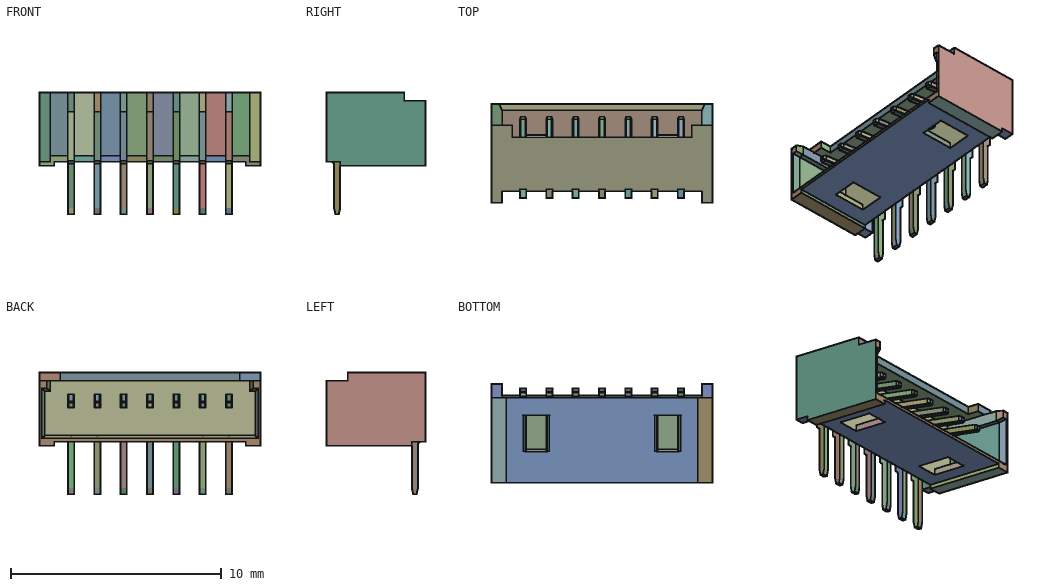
import cadquery as cq
import math


LENGTH = 10.5
DEPTH = 4.7
HEIGHT = 3.5
WING_WIDTH = 0.5
WING_DEPTH = 0.55
FOOT_WIDTH = 0.7
FOOT_HEIGHT = 0.2
UNDERCUT_TOP = 0.48
REAR_STEP_Y = 0.65

CEILING_Z = 3.11
FLOOR_Z = 0.5
BACK_WALL_Y = 1.5
WALL = 0.5
LOWER_WALL = 0.26
RIB_BOTTOM_Z = 2.59
FLARE = 0.15
FLARE_DEPTH = 0.29

MOUTH_Y = 3.7
ROOF_NOTCH_Y = 3.12
ROOF_NOTCH_HALF_WIDTH = 4.25
WINDOW_FRONT_Y = 3.21

PIN_COUNT = 7
PITCH = 1.25
PIN_WIDTH = 0.3
PIN_TOP = 2.58
PIN_BOTTOM = -2.3
LEG_REAR_Y = 0.22
TAIL_REAR_Y = 0.36
LEG_BEVEL_Z = 0.24
TAIL_TIP_HEIGHT = 0.29
TAIL_TIP_INSET = 0.06
CONTACT_TIP_Y = 4.1
CONTACT_HEIGHT = 0.3
CONTACT_DROOP_DEGREES = 8.0
CONTACT_BEVEL_WIDTH = 0.05
CONTACT_BEVEL_HEIGHT = 0.02
CONTACT_TIP_LENGTH = 0.13
CONTACT_TIP_INSET = 0.05

pin_places = [PITCH * (i - (PIN_COUNT - 1) / 2) for i in range(PIN_COUNT)]


def block(x0, x1, y0, y1, z0, z1):
    """Box between two corners."""
    return cq.Workplane("XY").box(x1 - x0, y1 - y0, z1 - z0, centered=False).translate((x0, y0, z0))


def centred_block(half_width, y0, y1, z0, z1):
    """Box symmetric about X = 0."""
    return block(-half_width, half_width, y0, y1, z0, z1)


def make_shell():
    """Solid housing with the rear recess, the underside relief and the stepped roof."""
    half = LENGTH / 2
    between_wings = half - WING_WIDTH
    shell = centred_block(half, 0, DEPTH, 0, HEIGHT)
    shell = shell.cut(centred_block(between_wings, 0, WING_DEPTH, 0, HEIGHT))
    shell = shell.cut(centred_block(between_wings, 0, REAR_STEP_Y, 0, UNDERCUT_TOP))
    shell = shell.cut(centred_block(half, 0, REAR_STEP_Y, 0, FOOT_HEIGHT))
    shell = shell.cut(centred_block(half - FOOT_WIDTH, 0, DEPTH, 0, FOOT_HEIGHT))
    return shell.cut(centred_block(half, MOUTH_Y, DEPTH, CEILING_Z, HEIGHT))


def cavity_wire(y, spread):
    """Cavity outline at depth y, widened on its sides, floor and rib undersides by spread."""
    upper = LENGTH / 2 - WALL + spread
    lower = LENGTH / 2 - LOWER_WALL + spread
    floor = FLOOR_Z - spread
    rib_bottom = RIB_BOTTOM_Z + spread
    outline = [
        (-lower, floor),
        (lower, floor),
        (lower, rib_bottom),
        (upper, rib_bottom),
        (upper, CEILING_Z),
        (-upper, CEILING_Z),
        (-upper, rib_bottom),
        (-lower, rib_bottom),
    ]
    return cq.Wire.makePolygon([cq.Vector(x, y, z) for x, z in outline], close=True)


def make_cavity():
    """Straight cavity ending in a flared mouth."""
    flare_y = DEPTH - FLARE_DEPTH
    inner = cavity_wire(BACK_WALL_Y, 0)
    start = cavity_wire(flare_y, 0)
    mouth = cavity_wire(DEPTH, FLARE)
    straight = cq.Workplane(cq.Solid.makeLoft([inner, start], True))
    return straight.union(cq.Workplane(cq.Solid.makeLoft([start, mouth], True)))


def make_housing():
    """Shell with the cavity, roof notch, floor windows and rear pin grooves."""
    housing = make_shell().cut(make_cavity())
    housing = housing.cut(
        centred_block(ROOF_NOTCH_HALF_WIDTH, ROOF_NOTCH_Y, MOUTH_Y, CEILING_Z, HEIGHT)
    )
    for left, right in (pin_places[:2], pin_places[-2:]):
        housing = housing.cut(block(left, right, BACK_WALL_Y, WINDOW_FRONT_Y, 0, FLOOR_Z))
    for x in pin_places:
        housing = housing.cut(
            block(x - PIN_WIDTH / 2, x + PIN_WIDTH / 2, WING_DEPTH, REAR_STEP_Y, 0, HEIGHT)
        )
    return housing


def make_leg():
    """Vertical leg, narrowed below the housing to a tail with a tapered tip."""
    tip_z = PIN_BOTTOM + TAIL_TIP_HEIGHT
    bevel = TAIL_REAR_Y - LEG_REAR_Y
    profile = [
        (LEG_REAR_Y, PIN_TOP),
        (REAR_STEP_Y, PIN_TOP),
        (REAR_STEP_Y, tip_z),
        (REAR_STEP_Y - TAIL_TIP_INSET, PIN_BOTTOM),
        (TAIL_REAR_Y + TAIL_TIP_INSET, PIN_BOTTOM),
        (TAIL_REAR_Y, tip_z),
        (TAIL_REAR_Y, LEG_BEVEL_Z - bevel),
        (LEG_REAR_Y, LEG_BEVEL_Z),
    ]
    return cq.Workplane("YZ").polyline(profile).close().extrude(PIN_WIDTH / 2, both=True)


def contact_wire(y, inset):
    """Octagonal contact outline at depth y, its outer sides moved in by inset."""
    half_width = PIN_WIDTH / 2 - inset
    half_flat = PIN_WIDTH / 2 - CONTACT_BEVEL_WIDTH
    slope = math.tan(math.radians(CONTACT_DROOP_DEGREES))
    bar_top = PIN_TOP - (y - REAR_STEP_Y) * slope
    top = bar_top - inset
    bottom = bar_top - CONTACT_HEIGHT + inset
    outline = [
        (-half_flat, bottom),
        (half_flat, bottom),
        (half_width, bottom + CONTACT_BEVEL_HEIGHT),
        (half_width, top - CONTACT_BEVEL_HEIGHT),
        (half_flat, top),
        (-half_flat, top),
        (-half_width, top - CONTACT_BEVEL_HEIGHT),
        (-half_width, bottom + CONTACT_BEVEL_HEIGHT),
    ]
    return cq.Wire.makePolygon([cq.Vector(x, y, z) for x, z in outline], close=True)


def make_contact():
    """Contact reaching from the leg through the rear wall into the cavity."""
    root = contact_wire(REAR_STEP_Y, 0)
    shoulder = contact_wire(CONTACT_TIP_Y - CONTACT_TIP_LENGTH, 0)
    tip = contact_wire(CONTACT_TIP_Y, CONTACT_TIP_INSET)
    bar = cq.Workplane(cq.Solid.makeLoft([root, shoulder], True))
    return bar.union(cq.Workplane(cq.Solid.makeLoft([shoulder, tip], True)))


pin = make_leg().union(make_contact())
result = make_housing()
for x in pin_places:
    result = result.union(pin.translate((x, 0, 0)))